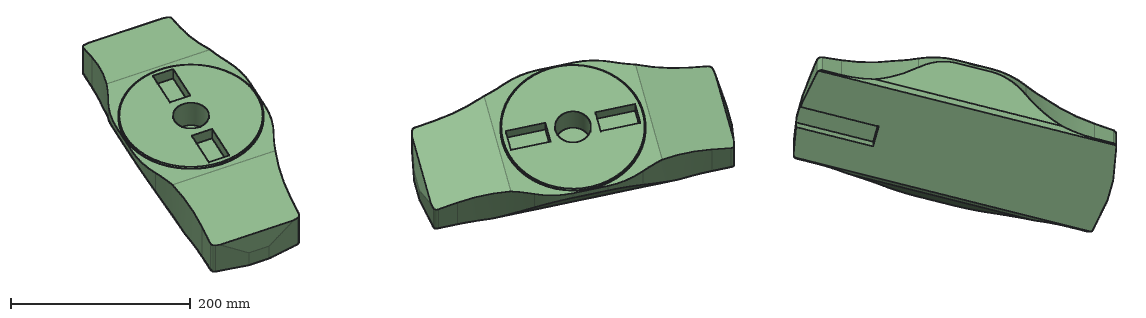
import cadquery as cq
import math

length = 358.0
width = 164.0
height = 67.0
deck_height = 64.8
deck_half_length = 86.5
end_slope = 15.0

arm_half_width = 54.5
middle_flat_half = 20.0
convex_radius = 100.0
concave_radius = 2 * convex_radius
corner_radius = 5.0
nose_half_width = 12.5
nose_plan_angle = 10.0

nose_edge_height = 20.5
nose_bevel_angle = 15.0

flank_top_z = 54.8
flank_bottom_z = 4.3
flank_bottom_y = 58.0
base_half_width = 53.0

plate_diameter = 162.0
plate_chamfer = 1.5

bore_diameter = 40.0
bore_depth = 35.8
pocket_length = 45.5
pocket_width = 25.0
pocket_depth = 15.0
pocket_inner_x = 28.5
channel_width = 24.5
channel_height = 15.0
channel_center_y = 5.7
channel_length = 89.5

half_length = length / 2
half_width = width / 2
pocket_center_x = pocket_inner_x + pocket_length / 2
corner_x = half_length - math.tan(math.radians(nose_plan_angle)) * (arm_half_width - nose_half_width)


def arc_point(center, radius, angle):
    """Point on a circle, with the angle measured from +Y towards +X."""
    return (center[0] + radius * math.sin(angle), center[1] + radius * math.cos(angle))


def plan_quarter():
    """Quarter of the plan outline, filling the +X +Y quadrant."""
    shoulder_drop = half_width - arm_half_width
    sweep = math.acos(1 - shoulder_drop / (convex_radius + concave_radius))
    convex_center = (middle_flat_half, half_width - convex_radius)
    arm_start_x = middle_flat_half + (convex_radius + concave_radius) * math.sin(sweep)
    concave_center = (arm_start_x, arm_half_width + concave_radius)
    return (
        cq.Workplane("XY")
        .lineTo(0, half_width)
        .lineTo(middle_flat_half, half_width)
        .threePointArc(
            arc_point(convex_center, convex_radius, sweep / 2),
            arc_point(convex_center, convex_radius, sweep),
        )
        .threePointArc(
            arc_point(concave_center, -concave_radius, sweep / 2),
            (arm_start_x, arm_half_width),
        )
        .lineTo(corner_x, arm_half_width)
        .lineTo(half_length, nose_half_width)
        .lineTo(half_length, 0)
        .close()
        .extrude(deck_height)
        .edges(cq.NearestToPointSelector((corner_x, arm_half_width, deck_height / 2)))
        .fillet(corner_radius)
    )


def plan_body():
    quarter = plan_quarter()
    half = quarter.union(quarter.mirror("XZ"))
    return half.union(half.mirror("YZ")).clean()


def long_profile():
    """Side-on envelope: flat deck, sloping arms and bevelled noses."""
    slope = math.tan(math.radians(end_slope))
    bevel = math.tan(math.radians(nose_bevel_angle))
    arm_rise = deck_height - nose_edge_height + slope * deck_half_length
    arm_end_x = (half_length - bevel * arm_rise) / (1 - bevel * slope)
    arm_end_z = deck_height - slope * (arm_end_x - deck_half_length)
    right = [
        (half_length, 0),
        (half_length, nose_edge_height),
        (arm_end_x, arm_end_z),
        (deck_half_length, deck_height),
    ]
    left = [(-x, z) for x, z in reversed(right)]
    return cq.Workplane("XZ").polyline(right + left).close().extrude(half_width, both=True)


def cross_profile():
    """End-on envelope: upright rim, undercut flanks and bevelled base edges."""
    right = [
        (base_half_width, 0),
        (flank_bottom_y, flank_bottom_z),
        (half_width, flank_top_z),
        (half_width, deck_height),
    ]
    left = [(-y, z) for y, z in reversed(right)]
    return cq.Workplane("YZ").polyline(right + left).close().extrude(half_length, both=True)


def round_plate():
    return (
        cq.Workplane("XY", origin=(0, 0, deck_height))
        .circle(plate_diameter / 2)
        .extrude(height - deck_height)
        .faces(">Z")
        .chamfer(plate_chamfer)
    )


def top_openings():
    top = cq.Workplane("XY", origin=(0, 0, height))
    bore = top.circle(bore_diameter / 2).extrude(-bore_depth)
    pockets = (
        top.pushPoints([(-pocket_center_x, 0), (pocket_center_x, 0)])
        .rect(pocket_length, pocket_width)
        .extrude(-pocket_depth)
    )
    return bore.union(pockets)


def end_channel():
    """Channel open at the base and at the -X nose."""
    return cq.Workplane("XY").box(
        channel_length, channel_width, channel_height, centered=(False, True, False)
    ).translate((-half_length, channel_center_y, 0))


body = plan_body().intersect(long_profile()).intersect(cross_profile())
result = body.union(round_plate()).cut(top_openings()).cut(end_channel())